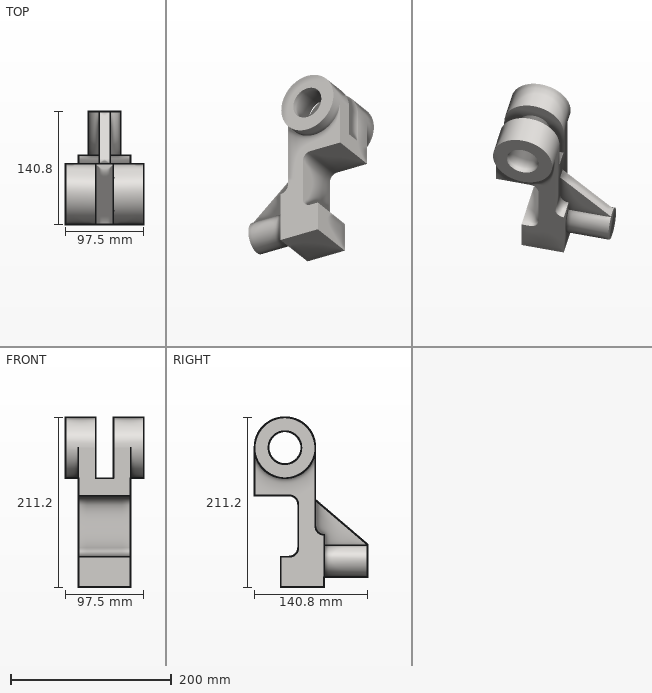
import cadquery as cq

UNIT = 5.4152

body_width = 12 * UNIT
foot_depth = 10 * UNIT
foot_height = 7 * UNIT
back_step_height = 12 * UNIT
column_depth = 4 * UNIT
head_underside_z = 21 * UNIT
corner_radius = 2 * UNIT

eye_length = 18 * UNIT
eye_radius = 7 * UNIT
eye_bore_diameter = 7.5 * UNIT
eye_z = 32 * UNIT
fork_gap = 4 * UNIT
fork_floor_z = eye_z - eye_radius

stub_diameter = 7.5 * UNIT
stub_length = 10 * UNIT
stub_z = 6 * UNIT
rib_width = 2.5 * UNIT
rib_top_z = 20 * UNIT

foot_front_y = -foot_depth
column_back_y = -corner_radius
column_front_y = column_back_y - column_depth
eye_y = column_back_y - eye_radius
head_front_y = eye_y - eye_radius
stub_end_y = stub_length


def make_body():
    """Extrude the side profile: foot, column and head with rounded inner corners."""
    outline = (
        cq.Workplane("YZ")
        .lineTo(foot_front_y, 0)
        .lineTo(foot_front_y, foot_height)
        .lineTo(column_front_y - corner_radius, foot_height)
        .tangentArcPoint((corner_radius, corner_radius))
        .lineTo(column_front_y, head_underside_z - corner_radius)
        .tangentArcPoint((-corner_radius, corner_radius))
        .lineTo(head_front_y, head_underside_z)
        .lineTo(head_front_y, eye_z)
        .lineTo(column_back_y, eye_z)
        .lineTo(column_back_y, back_step_height + corner_radius)
        .tangentArcPoint((corner_radius, -corner_radius))
        .close()
    )
    return outline.extrude(body_width / 2, both=True)


def make_x_cylinder(diameter):
    """Cylinder on the eye axis, as long as the eye."""
    axis_plane = cq.Workplane("YZ").center(eye_y, eye_z)
    return axis_plane.circle(diameter / 2).extrude(eye_length / 2, both=True)


def make_fork_slot():
    """Slot that splits the eye and the head into two lugs."""
    slot = cq.Workplane("XY").workplane(offset=fork_floor_z).center(0, eye_y)
    return slot.rect(fork_gap, 2 * eye_radius).extrude(2 * eye_radius)


def make_stub():
    """Round stub pointing toward +Y from the back of the foot."""
    start = cq.Workplane("XZ").center(0, stub_z)
    return start.circle(stub_diameter / 2).extrude(-stub_length)


def make_rib():
    """Sloping rib from the top of the stub's end up to the back of the column."""
    profile = [
        (column_front_y, stub_z),
        (stub_end_y, stub_z),
        (stub_end_y, stub_z + stub_diameter / 2),
        (column_back_y, rib_top_z),
        (column_front_y, rib_top_z),
    ]
    return cq.Workplane("YZ").polyline(profile).close().extrude(rib_width / 2, both=True)


result = make_body().union(make_x_cylinder(2 * eye_radius))
result = result.cut(make_x_cylinder(eye_bore_diameter)).cut(make_fork_slot())
result = result.union(make_stub()).union(make_rib())